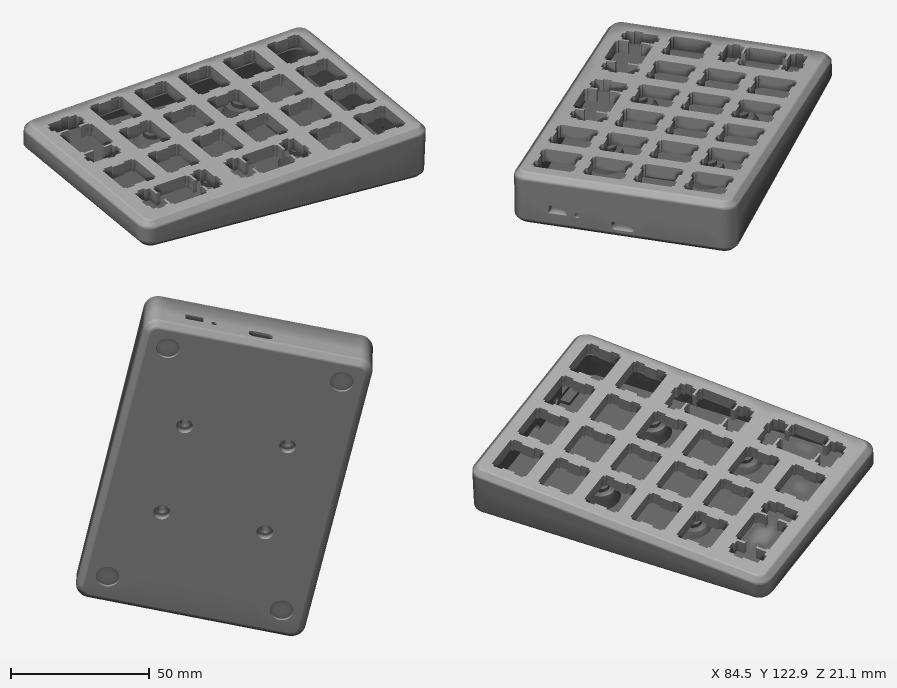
import cadquery as cq
import math


housing_width = 84.5
housing_length = 122.7
rear_height = 21.45
rear_edge_y = 61.15
tilt = 5.0
corner_radius = 5.3
edge_chamfer = 2.2
edge_round = 1.2

plate_width = 78.0
plate_length = 116.0
plate_thickness = 5.0
plate_corner_radius = 4.4

ledge_depth = 7.5
ledge_width = 0.7
straight_depth = 8.6
cavity_corner_radius = 5.3
floor_thickness = 3.7

key_pitch = 19.0
key_columns = 4
key_rows = 6
switch_size = 14.0
clip_notch_width = 15.6
clip_notch_length = 3.6
clip_notch_offset = 4.3

stabilizer_spacing = 23.8
neck_width = 4.7
well_width = 6.5
well_front = -6.8
well_rear = 5.4
lug_width = 3.0
lug_front = -7.9
lug_rear = 6.3
side_lug_reach = 4.0
side_lug_front = -0.7
side_lug_rear = 2.6

boss_diameter = 11.2
boss_top_z = -8.4
boss_foot_diameter = 15.2
spigot_diameter = 7.0
spigot_height = 1.7
screw_hole_diameter = 3.3
screw_head_diameter = 6.0
screw_head_depth = 2.5

foot_diameter = 8.5
foot_depth = 1.0
foot_x = 32.1
foot_y = 50.4

rib_height = 1.5
holder_width = 20.2
holder_front_y = 23.8
holder_rib = 0.9
holder_hook = 1.7
connector_width = 9.0
connector_height = 3.6
connector_round = 1.7

shelf_x = 24.6
shelf_width = 9.6
shelf_front_y = 53.1
slide_width = 6.6
slide_height = 3.2
slide_base = 3.0
button_x = 17.2
button_height = 3.6
button_hole_diameter = 2.0
button_seat_diameter = 3.3
button_seat_depth = 1.0

slope = math.tan(math.radians(tilt))
lean = math.tan(math.radians(tilt / 2))
front_edge_y = rear_edge_y - housing_length
wall_direction = cq.Vector(0, lean, 1).normalized()
bottom_direction = cq.Vector(0, -slope, -1).normalized()
cavity_width = plate_width - 2 * ledge_width
cavity_length = plate_length - 2 * ledge_width
cavity_rear_y = cavity_length / 2
boss_points = [(sx * key_pitch, sy * key_pitch) for sx in (-1, 1) for sy in (-1, 1)]
foot_points = [(sx * foot_x, sy * foot_y) for sx in (-1, 1) for sy in (-1, 1)]


def bottom_z(y):
    return -rear_height + (rear_edge_y - y) * slope


def floor_z(y):
    return bottom_z(y) + floor_thickness


def leaning_point(edge_y, offset):
    """Where a leaning wall that starts at Z = 0, Y = edge_y meets the bottom raised by offset."""
    z = (bottom_z(edge_y) + offset) / (1 + slope * lean)
    return edge_y + z * lean, z


def side_profile(points, width):
    return cq.Workplane("YZ").polyline(points).close().extrude(width).translate((-width / 2, 0, 0))


def tilted_plane(y, z):
    """A plane parallel to the bottom, with its origin at X = 0 and the given Y and Z."""
    return cq.Workplane(cq.Plane((0, y, z), xDir=(1, 0, 0), normal=-bottom_direction))


def box_between(x0, x1, y0, y1, depth):
    return cq.Workplane("XY").box(x1 - x0, y1 - y0, depth, centered=False).translate((x0, y0, -depth))


def outer_block():
    profile = [(front_edge_y, 0), (rear_edge_y, 0), leaning_point(rear_edge_y, 0), leaning_point(front_edge_y, 0)]
    block = side_profile(profile, housing_width)
    block = block.edges(cq.selectors.ParallelDirSelector(wall_direction, 0.01)).fillet(corner_radius)
    underside = cq.selectors.DirectionMinMaxSelector(bottom_direction, True)
    block = block.faces(">Z").chamfer(edge_chamfer).faces(underside).chamfer(edge_chamfer)
    return round_chamfers(block, underside)


def round_chamfers(block, underside):
    """Round both edges of the top and bottom chamfers."""
    edges = block.faces(">Z").edges().vals() + block.faces(underside).edges().vals()
    for face in block.faces().vals():
        if abs(face.normalAt().dot(wall_direction)) < 0.02:
            edges += [e for e in face.Edges() if abs(e.tangentAt(0.5).dot(wall_direction)) < 0.9]
    return block.newObject(edges).fillet(edge_round)


def plate_pocket():
    pocket = cq.Workplane("XY").rect(plate_width, plate_length).extrude(-ledge_depth)
    return pocket.edges("|Z").fillet(plate_corner_radius)


def cavity():
    """Vertical walls down to straight_depth, leaning walls below, ending at the tilted floor."""
    section = cq.Workplane("XY").rect(cavity_width, cavity_length).extrude(-straight_depth)
    straight = section.edges("|Z").fillet(cavity_corner_radius)
    deep = cq.Solid.extrudeLinear(straight.faces("<Z").val(), cq.Vector(0, -lean, -1) * rear_height)
    floor_profile = [
        (2 * front_edge_y, floor_z(2 * front_edge_y)),
        (rear_edge_y, floor_z(rear_edge_y)),
        (rear_edge_y, -2 * rear_height),
        (2 * front_edge_y, -2 * rear_height),
    ]
    below_floor = side_profile(floor_profile, housing_width)
    return straight.union(cq.Workplane(deep)).cut(below_floor)


def boss(x, y):
    """A tapered post from the floor with a spigot on top."""
    height = boss_top_z - floor_z(y)
    flare = (boss_foot_diameter - boss_diameter) / 2 / height
    buried = floor_thickness / 2
    foot_radius = boss_foot_diameter / 2 + flare * buried
    post = cq.Solid.makeCone(foot_radius, boss_diameter / 2, height + buried, cq.Vector(x, y, floor_z(y) - buried))
    spigot = cq.Solid.makeCylinder(spigot_diameter / 2, spigot_height, cq.Vector(x, y, boss_top_z))
    return cq.Workplane(post).union(cq.Workplane(spigot))


def add_bosses(body):
    for x, y in boss_points:
        body = body.union(boss(x, y))
    return body


def cut_screw_holes(body):
    for x, y in boss_points:
        hole = cq.Workplane("XY").circle(screw_hole_diameter / 2).extrude(-rear_height)
        head = tilted_plane(y, bottom_z(y)).center(x, 0).circle(screw_head_diameter / 2)
        head = head.extrude(screw_head_depth, both=True)
        body = body.cut(hole.translate((x, y, 0))).cut(head)
    return body


def cut_feet(body):
    for x, y in foot_points:
        foot = tilted_plane(y, bottom_z(y)).center(x, 0).circle(foot_diameter / 2)
        body = body.cut(foot.extrude(foot_depth, both=True))
    return body


def controller_holder():
    """A rib with a short hook at each end, standing on the floor."""
    half = holder_width / 2
    base = tilted_plane(holder_front_y, floor_z(holder_front_y)).workplane(offset=-holder_rib)
    outline = [
        (-half, 0),
        (half, 0),
        (half, holder_rib + holder_hook / 2),
        (half - holder_rib, holder_rib + holder_hook / 2),
        (half - holder_rib, holder_rib),
        (holder_rib - half, holder_rib),
        (holder_rib - half, holder_rib + holder_hook / 2),
        (-half, holder_rib + holder_hook / 2),
    ]
    return base.polyline(outline).close().extrude(rib_height + holder_rib)


def switch_shelf():
    depth = cavity_rear_y - shelf_front_y
    base = tilted_plane(shelf_front_y, floor_z(shelf_front_y)).workplane(offset=-holder_rib)
    return base.center(shelf_x, depth / 2).rect(shelf_width, depth).extrude(rib_height + holder_rib)


def rear_opening(x, width, base, height):
    """A slot through the rear wall, parallel to the bottom and base above the floor."""
    reach = 2 * (rear_edge_y - cavity_rear_y)
    start = tilted_plane(cavity_rear_y, floor_z(cavity_rear_y)).workplane(offset=base)
    return start.center(x, reach / 4).rect(width, reach).extrude(height)


def connector_opening():
    slot = rear_opening(0, connector_width, 0, connector_height)
    along_slot = cq.selectors.ParallelDirSelector(cq.Vector(0, 1, -slope), 0.01)
    return slot.edges(along_slot).fillet(connector_round)


def slide_opening():
    return rear_opening(shelf_x, slide_width, slide_base, slide_height)


def button_hole():
    y, z = leaning_point(cavity_rear_y + straight_depth * lean, floor_thickness)
    start = cq.Workplane(cq.Plane((button_x, y, z + button_height), xDir=(1, 0, 0), normal=(0, 1, -slope)))
    seat = start.circle(button_seat_diameter / 2).extrude(button_seat_depth)
    return seat.union(start.circle(button_hole_diameter / 2).extrude(rear_edge_y - cavity_rear_y + 2.5))


def make_housing():
    body = outer_block().cut(plate_pocket()).cut(cavity())
    body = add_bosses(body)
    body = body.union(controller_holder()).union(switch_shelf())
    body = body.cut(connector_opening()).cut(slide_opening())
    body = body.cut(button_hole())
    return cut_feet(cut_screw_holes(body))


def switch_hole():
    hole = cq.Workplane("XY").rect(switch_size, switch_size).extrude(-plate_thickness)
    notches = cq.Workplane("XY").pushPoints([(0, -clip_notch_offset), (0, clip_notch_offset)])
    return hole.union(notches.rect(clip_notch_width, clip_notch_length).extrude(-plate_thickness))


def wide_key_hole():
    """A switch hole joined by a neck to a stabilizer well on either side."""
    half = stabilizer_spacing / 2
    hole = switch_hole().union(box_between(-half, half, -neck_width / 2, neck_width / 2, plate_thickness))
    for centre in (-half, half):
        outer = math.copysign(half + side_lug_reach, centre)
        well_side = well_width / 2
        lug_side = lug_width / 2
        hole = hole.union(
            box_between(centre - well_side, centre + well_side, well_front, well_rear, plate_thickness)
        )
        hole = hole.union(box_between(centre - lug_side, centre + lug_side, lug_front, lug_rear, plate_thickness))
        left, right = sorted((centre, outer))
        hole = hole.union(box_between(left, right, side_lug_front, side_lug_rear, plate_thickness))
    return hole


def key_position(column, row):
    x = (column - (key_columns - 1) / 2) * key_pitch
    y = ((key_rows - 1) / 2 - row) * key_pitch
    return x, y, 0


def make_plate():
    plate = cq.Workplane("XY").rect(plate_width, plate_length).extrude(-plate_thickness)
    plate = plate.edges("|Z").fillet(plate_corner_radius)
    wide_keys = [(3, 2.5, -90), (3, 4.5, -90), (0.5, 5, 0)]
    wide_places = [(3, 2), (3, 3), (3, 4), (3, 5), (0, 5), (1, 5)]
    for row in range(key_rows):
        for column in range(key_columns):
            if (column, row) not in wide_places:
                plate = plate.cut(switch_hole().translate(key_position(column, row)))
    for column, row, turn in wide_keys:
        hole = wide_key_hole().rotate((0, 0, 0), (0, 0, 1), turn)
        plate = plate.cut(hole.translate(key_position(column, row)))
    return plate


housing = make_housing()
plate = make_plate()
result = cq.Compound.makeCompound([housing.val(), plate.val()])